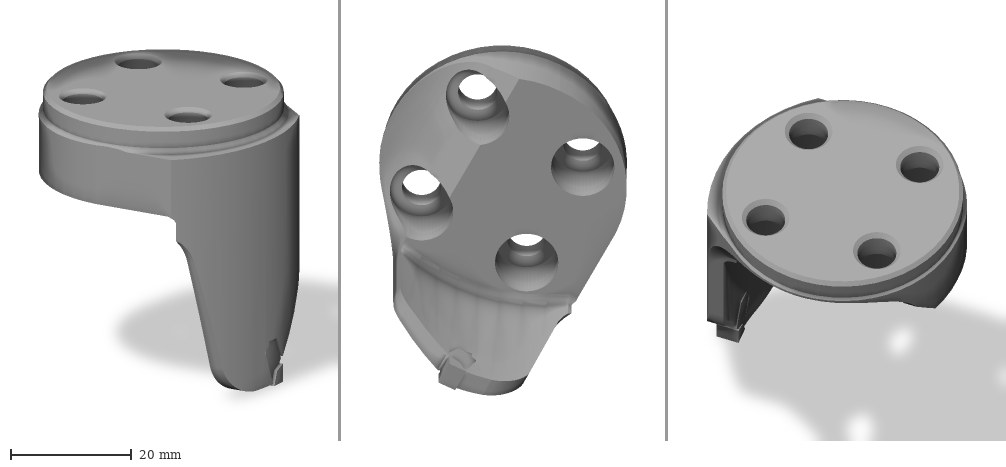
import cadquery as cq
import math

SPIGOT_RADIUS = 40.0 / 2
SPIGOT_HEIGHT = 3.5
TOP_CHAMFER = 0.6
SHOULDER_Z = -4.3
FLANGE_RADIUS = 20.4
FLANGE_BOTTOM_Z = -14.35
BULGE_RADIUS = 20.75
FRONT_FLAT_START_X = -1.85
TANGENT_FLAT_ANGLE = 50.0

HOLE_OFFSET = 9.9
HOLE_DIAMETER = 6.5
HOLE_CHAMFER = 0.7
COUNTERBORE_DIAMETER = 10.5
COUNTERBORE_Z = -4.8

BLADE_OUTER_X = 22.3
BLADE_OUTER_RADIUS = 25.65
BLADE_INNER_X = 18.9
BLADE_INNER_RADIUS = 33.7
BLADE_FRONT_X = 12.85
BLADE_BACK_Y = 9.85
BLADE_BOTTOM_Z = -47.45
ROOT_FILLET = 1.45

SCOOP_RADIUS = 10.5
SCOOP_Y = BLADE_BACK_Y + SCOOP_RADIUS
SCOOP_Z = -14.9
RELIEF_BOTTOM_Y = 7.0
RELIEF_TOP = (11.0, -10.2)

INSERT_BOTTOM_Z = -48.0
SHANK_TOP_Z = -39.7
SHANK_INNER_X = 18.7
SHANK_OUTER_X = 21.85
TIP_INNER_X = 18.55
TIP_OUTER_X = 22.4
POCKET_RAMP_RISE = 0.6
SHANK_TOP_Y = (-1.7, -4.2)
NECK = (-2.0, -45.45)
HEEL = (-2.95, -47.6)

REACH = 28.8


def prism_along_x(outline, x_start, x_end):
    """Extrude a closed (Y, Z) outline from x_start to x_end."""
    return outline.close().extrude(x_end - x_start).translate((x_start, 0, 0))


def make_blank():
    """Plan outline of the flange and blade together, extruded over their full height."""
    centre_x = BLADE_OUTER_X - BLADE_OUTER_RADIUS
    angle = math.radians(TANGENT_FLAT_ANGLE)
    normal = (math.cos(angle), math.sin(angle))
    tangent = (FLANGE_RADIUS * normal[0], FLANGE_RADIUS * normal[1])

    line_distance = FLANGE_RADIUS - centre_x * normal[0]
    half_chord = math.sqrt(BLADE_OUTER_RADIUS**2 - line_distance**2)
    rear_corner = (
        centre_x + line_distance * normal[0] + half_chord * normal[1],
        line_distance * normal[1] - half_chord * normal[0],
    )
    front_corner_x = centre_x + math.sqrt(BLADE_OUTER_RADIUS**2 - FLANGE_RADIUS**2)
    quarter = FLANGE_RADIUS / math.sqrt(2)
    bulge = BULGE_RADIUS / math.sqrt(2)
    return (
        cq.Workplane("XY", origin=(0, 0, BLADE_BOTTOM_Z))
        .moveTo(FRONT_FLAT_START_X, -FLANGE_RADIUS)
        .lineTo(front_corner_x, -FLANGE_RADIUS)
        .threePointArc((BLADE_OUTER_X, 0), rear_corner)
        .lineTo(*tangent)
        .threePointArc((-quarter, quarter), (-FLANGE_RADIUS, 0))
        .threePointArc((-bulge, -bulge), (FRONT_FLAT_START_X, -FLANGE_RADIUS))
        .close()
        .extrude(-BLADE_BOTTOM_Z)
    )


def make_turned_top():
    """Space left around the spigot, its 45 degree collar and the shoulder."""
    collar_radius = SPIGOT_RADIUS - SHOULDER_Z - SPIGOT_HEIGHT
    return (
        cq.Workplane("XZ")
        .moveTo(SPIGOT_RADIUS - TOP_CHAMFER, 0)
        .lineTo(SPIGOT_RADIUS, -TOP_CHAMFER)
        .lineTo(SPIGOT_RADIUS, -SPIGOT_HEIGHT)
        .lineTo(collar_radius, SHOULDER_Z)
        .lineTo(REACH, SHOULDER_Z)
        .lineTo(REACH, 0)
        .close()
        .revolve(360, (0, 0, 0), (0, 1, 0))
    )


def make_inner_void():
    """Space under the flange, inside the blade, rounded at the blade root."""
    centre_x = BLADE_INNER_X - BLADE_INNER_RADIUS
    corner_y = math.sqrt(BLADE_INNER_RADIUS**2 - (BLADE_FRONT_X - centre_x) ** 2)
    return (
        cq.Workplane("XY", origin=(0, 0, FLANGE_BOTTOM_Z))
        .moveTo(-REACH, -REACH)
        .lineTo(BLADE_FRONT_X, -REACH)
        .lineTo(BLADE_FRONT_X, -corner_y)
        .threePointArc((BLADE_INNER_X, 0), (BLADE_FRONT_X, corner_y))
        .lineTo(BLADE_FRONT_X, REACH)
        .lineTo(-REACH, REACH)
        .close()
        .extrude(INSERT_BOTTOM_Z - FLANGE_BOTTOM_Z)
        .faces(">Z")
        .edges()
        .fillet(ROOT_FILLET)
    )


def make_side_envelope():
    """Side outline: flange, rear scoop and the tapering blade."""
    scoop_top_z = SCOOP_Z + SCOOP_RADIUS
    scoop_mid = SCOOP_RADIUS / math.sqrt(2)
    outline = (
        cq.Workplane("YZ")
        .moveTo(-REACH, 0)
        .lineTo(REACH, 0)
        .lineTo(REACH, scoop_top_z)
        .lineTo(SCOOP_Y, scoop_top_z)
        .threePointArc((SCOOP_Y - scoop_mid, SCOOP_Z + scoop_mid), (BLADE_BACK_Y, SCOOP_Z))
        .lineTo(BLADE_BACK_Y, -29.6)
        .threePointArc((9.25, -32.3), (7.75, -34.5))
        .lineTo(0.15, -43.55)
        .lineTo(HEEL[0], BLADE_BOTTOM_Z)
        .lineTo(-7.65, BLADE_BOTTOM_Z)
        .threePointArc((-11.6, -45.75), (-13.8, -41.9))
        .lineTo(-17.7, -23.05)
        .threePointArc((-18.2, -21.2), (-19.15, -19.35))
        .lineTo(-FLANGE_RADIUS, -18.0)
        .lineTo(-REACH, -18.0)
    )
    return prism_along_x(outline, -REACH, REACH)


def make_relief():
    """Sloping cut on the flange below the scoop, ending at the blade."""
    outline = (
        cq.Workplane("YZ")
        .moveTo(RELIEF_BOTTOM_Y, FLANGE_BOTTOM_Z)
        .lineTo(*RELIEF_TOP)
        .lineTo(REACH, RELIEF_TOP[1])
        .lineTo(REACH, FLANGE_BOTTOM_Z)
    )
    return prism_along_x(outline, -REACH, BLADE_FRONT_X - ROOT_FILLET)


def make_screw_hole(x, y):
    """Through hole chamfered at the top and counterbored from below."""
    radius = HOLE_DIAMETER / 2
    return (
        cq.Workplane("XZ")
        .lineTo(radius + HOLE_CHAMFER, 0)
        .lineTo(radius, -HOLE_CHAMFER)
        .lineTo(radius, COUNTERBORE_Z)
        .lineTo(COUNTERBORE_DIAMETER / 2, COUNTERBORE_Z)
        .lineTo(COUNTERBORE_DIAMETER / 2, FLANGE_BOTTOM_Z)
        .lineTo(0, FLANGE_BOTTOM_Z)
        .close()
        .revolve(360, (0, 0, 0), (0, 1, 0))
        .translate((x, y, 0))
    )


def make_shank(x_start, x_end):
    """Clamped part of the insert; also the shape of the pocket that holds it."""
    outline = (
        cq.Workplane("YZ")
        .moveTo(SHANK_TOP_Y[0], SHANK_TOP_Z)
        .lineTo(0.4, -44.0)
        .lineTo(-0.25, -44.85)
        .lineTo(*NECK)
        .lineTo(*HEEL)
        .lineTo(-5.0, -41.75)
        .lineTo(-5.0, -41.2)
        .lineTo(SHANK_TOP_Y[1], -40.45)
        .lineTo(SHANK_TOP_Y[1], SHANK_TOP_Z)
    )
    return prism_along_x(outline, x_start, x_end)


def make_tip(x_start, x_end, rear_y):
    """Cutting end of the insert, reaching back to rear_y."""
    outline = (
        cq.Workplane("YZ")
        .moveTo(rear_y, -44.85)
        .lineTo(-0.25, -44.85)
        .lineTo(*NECK)
        .lineTo(*HEEL)
        .lineTo(-3.1, -47.8)
        .lineTo(rear_y, INSERT_BOTTOM_Z)
    )
    return prism_along_x(outline, x_start, x_end)


def make_pocket_ramp():
    """Sloping lead-in above the pocket on the inner face of the blade."""
    return (
        cq.Workplane("XZ", origin=(0, SHANK_TOP_Y[0], 0))
        .moveTo(SHANK_INNER_X + POCKET_RAMP_RISE, SHANK_TOP_Z)
        .lineTo(SHANK_INNER_X - POCKET_RAMP_RISE, SHANK_TOP_Z)
        .lineTo(SHANK_INNER_X - POCKET_RAMP_RISE, SHANK_TOP_Z + 2 * POCKET_RAMP_RISE)
        .close()
        .extrude(SHANK_TOP_Y[0] - SHANK_TOP_Y[1])
    )


def make_holder():
    """Flange and blade in one piece, with the insert pocket."""
    body = make_blank().cut(make_turned_top()).cut(make_inner_void())
    body = body.intersect(make_side_envelope()).cut(make_relief())
    for x in (-HOLE_OFFSET, HOLE_OFFSET):
        for y in (-HOLE_OFFSET, HOLE_OFFSET):
            body = body.cut(make_screw_hole(x, y))
    body = body.cut(make_shank(0, REACH)).cut(make_pocket_ramp())
    return body.cut(make_tip(0, REACH, REACH))


def make_insert():
    """Insert shank and its wider cutting tip, one solid."""
    shank = make_shank(SHANK_INNER_X, SHANK_OUTER_X)
    return shank.union(make_tip(TIP_INNER_X, TIP_OUTER_X, 0.05))


holder = make_holder()
insert = make_insert()
result = cq.Compound.makeCompound([holder.val(), insert.val()])